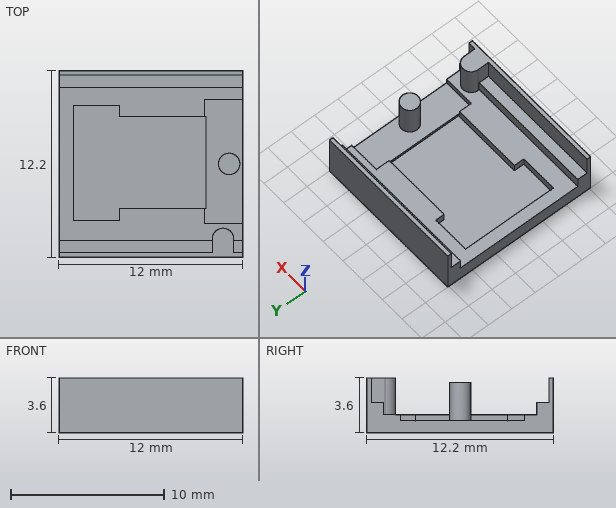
import cadquery as cq

LENGTH = 12.0
WIDTH = 12.2
HEIGHT = 3.6

FLOOR_Z = 1.2
LEDGE_Z = 2.0
WALL_THICKNESS = 0.3
LEDGE_EDGE_INSET = 1.1

LEFT_POCKET_START = 0.93
LEFT_POCKET_LENGTH = 3.0
LEFT_POCKET_WIDTH = 7.5
LEFT_POCKET_CENTER_Y = 0.05
MAIN_POCKET_START = 3.6
MAIN_POCKET_SIZE = 6.0
MAIN_POCKET_CENTER_Y = 0.1
RIGHT_POCKET_START = 9.5
RIGHT_POCKET_LENGTH = LENGTH - RIGHT_POCKET_START
RIGHT_POCKET_WIDTH = 8.1
RIGHT_POCKET_CENTER_Y = 0.15
DEEP_POCKET_DEPTH = 0.6
RIGHT_POCKET_DEPTH = 0.4

PIN_DIAMETER = 1.4
PIN_END_INSET = 0.9
PIN_TOP_Z = 3.3
POST_WIDTH = PIN_DIAMETER
POST_END_INSET = 1.3
POST_NOSE_INSET = 1.2


def make_tray():
    """Extrude the stepped U-shaped cross-section along X."""
    outer_y = WIDTH / 2
    wall_y = outer_y - WALL_THICKNESS
    ledge_y = outer_y - LEDGE_EDGE_INSET
    section = [
        (-outer_y, 0),
        (outer_y, 0),
        (outer_y, HEIGHT),
        (wall_y, HEIGHT),
        (wall_y, LEDGE_Z),
        (ledge_y, LEDGE_Z),
        (ledge_y, FLOOR_Z),
        (-ledge_y, FLOOR_Z),
        (-ledge_y, LEDGE_Z),
        (-wall_y, LEDGE_Z),
        (-wall_y, HEIGHT),
        (-outer_y, HEIGHT),
    ]
    return cq.Workplane("YZ").polyline(section).close().extrude(LENGTH / 2, both=True)


def make_pocket(start, length, width, center_y, depth):
    """Rectangular cutter reaching down from the floor surface."""
    return (
        cq.Workplane("XY", origin=(start - LENGTH / 2, center_y, FLOOR_Z - depth))
        .box(length, width, depth, centered=(False, True, False))
    )


def make_pin():
    """Pin standing on the right pocket's bottom."""
    base_z = FLOOR_Z - RIGHT_POCKET_DEPTH
    return (
        cq.Workplane("XY", origin=(LENGTH / 2 - PIN_END_INSET, 0, base_z))
        .circle(PIN_DIAMETER / 2)
        .extrude(PIN_TOP_Z - base_z)
    )


def make_post():
    """Full-height post with a half-round nose, joined through the ledge to the -Y wall."""
    radius = POST_WIDTH / 2
    wall_y = -WIDTH / 2
    nose_y = wall_y + POST_NOSE_INSET
    return (
        cq.Workplane("XY", origin=(LENGTH / 2 - POST_END_INSET, 0, FLOOR_Z))
        .moveTo(-radius, wall_y)
        .lineTo(-radius, nose_y)
        .threePointArc((0, nose_y + radius), (radius, nose_y))
        .lineTo(radius, wall_y)
        .close()
        .extrude(HEIGHT - FLOOR_Z)
    )


left_pocket = make_pocket(
    LEFT_POCKET_START, LEFT_POCKET_LENGTH, LEFT_POCKET_WIDTH, LEFT_POCKET_CENTER_Y, DEEP_POCKET_DEPTH
)
main_pocket = make_pocket(
    MAIN_POCKET_START, MAIN_POCKET_SIZE, MAIN_POCKET_SIZE, MAIN_POCKET_CENTER_Y, DEEP_POCKET_DEPTH
)
right_pocket = make_pocket(
    RIGHT_POCKET_START, RIGHT_POCKET_LENGTH, RIGHT_POCKET_WIDTH, RIGHT_POCKET_CENTER_Y, RIGHT_POCKET_DEPTH
)

tray = make_tray().cut(left_pocket).cut(main_pocket).cut(right_pocket)
result = tray.union(make_pin()).union(make_post())